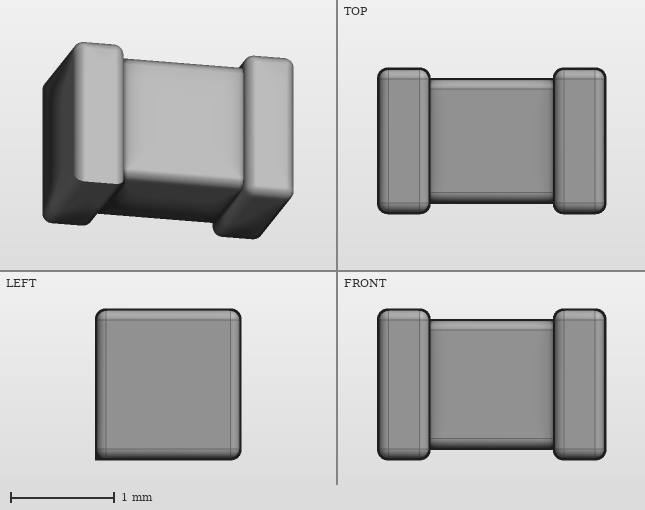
import cadquery as cq

total_length = 2.2
terminal_width = 1.4
terminal_height = 1.45

terminal_length = 0.5
edge_radius = 0.1

body_length = total_length - 2 * terminal_length
body_width = terminal_width - 2 * edge_radius
body_height = terminal_height - 2 * edge_radius

all_edges = None
all_but_lower_back_edge = "not(|X and >Y and <Z)"
rounded_edges_by_side = {-1: all_edges, 1: all_but_lower_back_edge}


def make_body():
    """Block between the terminals, rounded along its length."""
    block = cq.Workplane("XY").box(body_length, body_width, body_height)
    return block.edges("|X").fillet(edge_radius).solids()


def make_terminal(side, rounded_edges):
    """Rounded end block; side is -1 or +1 along X."""
    center_x = side * (total_length - terminal_length) / 2
    block = cq.Workplane("XY").box(terminal_length, terminal_width, terminal_height)
    rounded_block = block.edges(rounded_edges).fillet(edge_radius).solids()
    return rounded_block.translate((center_x, 0, 0))


body = make_body()
terminals = [make_terminal(side, edges) for side, edges in rounded_edges_by_side.items()]

result = cq.Compound.makeCompound([body.val(), *[terminal.val() for terminal in terminals]])